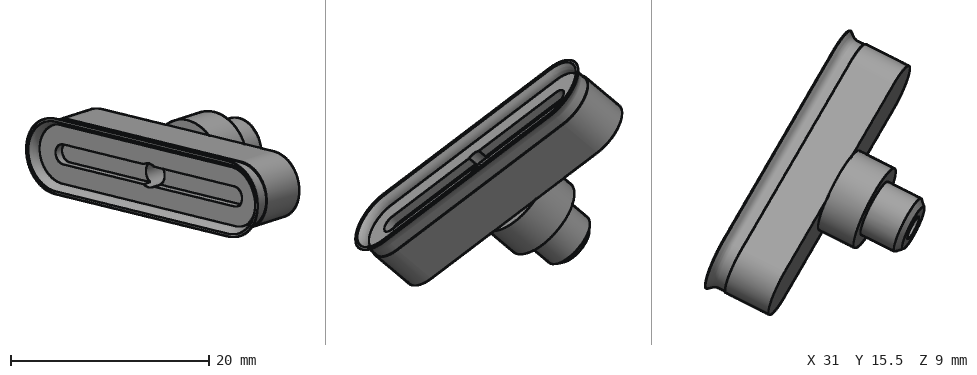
import cadquery as cq
import math

total_length = 31.0
total_depth = 15.5
lip_radius = 3.97
end_offset = total_length / 2 - lip_radius

body_radius = 3.47
body_back = 7.0
body_front = 2.0

neck_radius = 3.38
flare_start = 1.1
skirt_thickness = 0.28
outer_bend_radius = 0.87
flare_angle = math.radians(40)
floor_depth = flare_start

slot_length = 25.0
slot_radius = 1.05
slot_depth = 1.0

collar_diameter = 9.0
collar_back = 11.07
pin_diameter = 6.0
pin_chamfer = 0.62
hole_diameter = 2.5


def oblong_solid(profile):
    """Make an oblong from a radius/Y profile: two revolved ends joined by a straight bar."""
    outline = profile.close().val()
    turned = cq.Workplane("XY").add(outline).toPending().revolve(360, (0, 0, 0), (0, 1, 0))
    half_bar = cq.Workplane("XY").add(outline).toPending().extrude(end_offset, both=True)
    solid = half_bar.union(half_bar.mirror("YZ")).rotate((0, 0, 0), (0, 1, 0), 90)
    for side in (-1, 1):
        solid = solid.union(turned.translate((side * end_offset, 0, 0)))
    return solid


def bend_point(wall_radius, bend_radius, angle):
    """Point on the skirt bend after turning outward by the given angle."""
    radius = wall_radius + bend_radius * (1 - math.cos(angle))
    return (radius, flare_start - bend_radius * math.sin(angle))


def make_body():
    bend_middle = bend_point(neck_radius, outer_bend_radius, flare_angle / 2)
    bend_end = bend_point(neck_radius, outer_bend_radius, flare_angle)
    rim_y = bend_end[1] - (lip_radius - bend_end[0]) / math.tan(flare_angle)
    profile = (
        cq.Workplane("XY")
        .moveTo(0, 0)
        .lineTo(lip_radius, 0)
        .lineTo(lip_radius, rim_y)
        .lineTo(*bend_end)
        .threePointArc(bend_middle, (neck_radius, flare_start))
        .lineTo(neck_radius, body_front)
        .lineTo(body_radius, body_front)
        .lineTo(body_radius, body_back)
        .lineTo(0, body_back)
    )
    return oblong_solid(profile)


def make_mouth():
    inner_radius = neck_radius - skirt_thickness
    inner_bend_radius = outer_bend_radius + skirt_thickness
    bend_middle = bend_point(inner_radius, inner_bend_radius, flare_angle / 2)
    bend_end = bend_point(inner_radius, inner_bend_radius, flare_angle)
    mouth_radius = bend_end[0] + bend_end[1] * math.tan(flare_angle)
    profile = (
        cq.Workplane("XY")
        .moveTo(0, 0)
        .lineTo(mouth_radius, 0)
        .lineTo(*bend_end)
        .threePointArc(bend_middle, (inner_radius, flare_start))
        .lineTo(0, floor_depth)
    )
    return oblong_solid(profile)


def make_slot():
    return (
        cq.Workplane("XZ", origin=(0, floor_depth, 0))
        .slot2D(slot_length, 2 * slot_radius)
        .extrude(-slot_depth)
    )


def cylinder_along_y(diameter, start, end):
    return cq.Workplane("XZ", origin=(0, start, 0)).circle(diameter / 2).extrude(start - end)


collar = cylinder_along_y(collar_diameter, body_back, collar_back)
pin = cylinder_along_y(pin_diameter, collar_back, total_depth).faces(">Y").chamfer(pin_chamfer)
hole = cylinder_along_y(hole_diameter, 0, total_depth)

result = make_body().union(collar).union(pin)
result = result.cut(make_mouth()).cut(make_slot()).cut(hole)